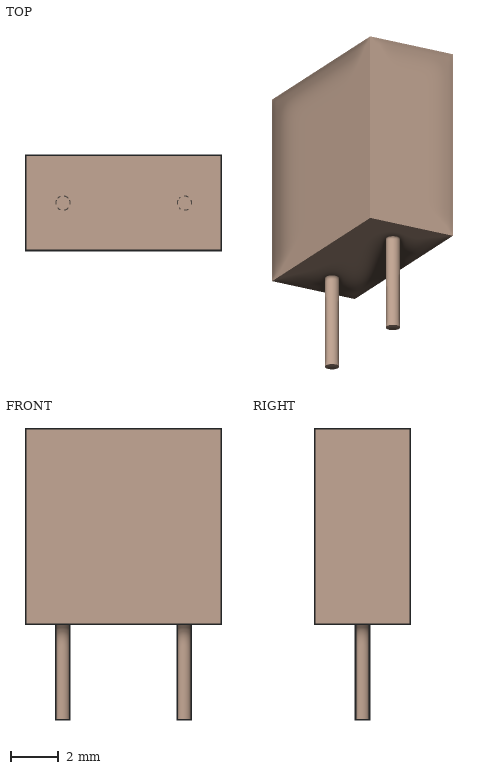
import cadquery as cq

total_height = 12.2
body_width = 8.2
body_depth = 4.0
body_height = 8.2

lead_diameter = 0.6
lead_pitch = 5.09
lead_length = total_height - body_height


def make_body():
    """Rectangular body standing on the plane Z = 0."""
    return cq.Workplane("XY").box(body_width, body_depth, body_height, centered=(True, True, False))


def make_lead(x_position):
    """Straight round lead hanging from the underside of the body."""
    return cq.Workplane("XY").center(x_position, 0).circle(lead_diameter / 2).extrude(-lead_length)


body = make_body()

leads = []
for side in (-1, 1):
    leads.append(make_lead(side * lead_pitch / 2))

result = cq.Compound.makeCompound([body.val(), *[lead.val() for lead in leads]])